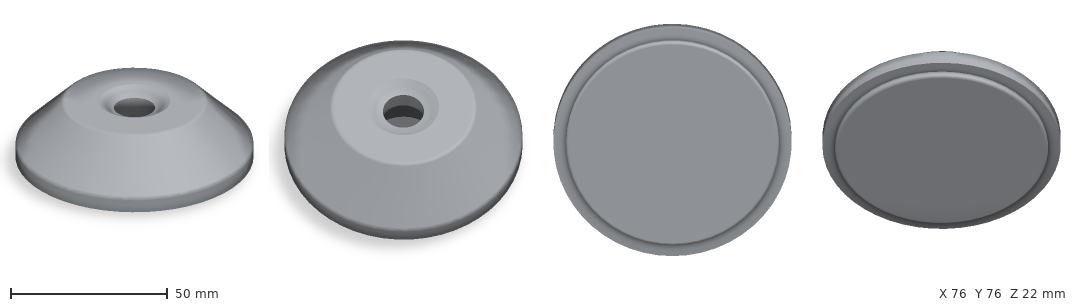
import cadquery as cq
import math

outer_radius = 38.0
total_height = 22.0
rim_top = 6.9
cone_top_radius = 22.8
foot_radius = 68.0 / 2
foot_height = 2.0

top_fillet = 2.0
shoulder_fillet = 1.5
foot_fillet = 1.0

seat_radius = 11.3
seat_sphere_radius = 20.0
throat_radius = 6.5
throat_length = 6.15
throat_draft = math.radians(5)
chamber_radius = 9.1
chamber_draft = math.radians(10)
chamber_floor = foot_height


def sphere_drop(radius):
    """Drop from the centre of the seat sphere to its circle of the given radius."""
    return math.sqrt(seat_sphere_radius**2 - radius**2)


seat_centre = total_height + sphere_drop(seat_radius)
throat_top = seat_centre - sphere_drop(throat_radius)
chamber_top = throat_top - throat_length
throat_bottom_radius = throat_radius + throat_length * math.tan(throat_draft)
chamber_floor_radius = chamber_radius + (chamber_top - chamber_floor) * math.tan(chamber_draft)


def revolve_about_z(profile):
    """Full turn about Z of a closed outline drawn in the XZ plane."""
    return profile.close().revolve(360, (0, 0, 0), (0, 1, 0))


def make_body():
    """Rim and cone, rounded at the top face and at the shoulder between them."""
    profile = (
        cq.Workplane("XZ")
        .moveTo(0, foot_height)
        .lineTo(outer_radius, foot_height)
        .lineTo(outer_radius, rim_top)
        .lineTo(cone_top_radius, total_height)
        .lineTo(0, total_height)
    )
    body = revolve_about_z(profile)
    body = body.edges("%CIRCLE exc (<Z or >Z)").fillet(shoulder_fillet)
    return body.faces(">Z").edges().fillet(top_fillet)


def make_foot():
    """Disc projecting below the rim, rounded at its lower edge."""
    disc = cq.Workplane("XY").circle(foot_radius).extrude(foot_height)
    return disc.faces("<Z").edges().fillet(foot_fillet)


def make_opening():
    """Seat, throat and chamber as one cutting shape."""
    profile = (
        cq.Workplane("XZ")
        .moveTo(0, chamber_floor)
        .lineTo(chamber_floor_radius, chamber_floor)
        .lineTo(chamber_radius, chamber_top)
        .lineTo(throat_bottom_radius, chamber_top)
        .lineTo(throat_radius, throat_top)
        .radiusArc((seat_radius, total_height), -seat_sphere_radius)
        .lineTo(0, total_height)
    )
    return revolve_about_z(profile)


result = make_body().union(make_foot()).cut(make_opening())